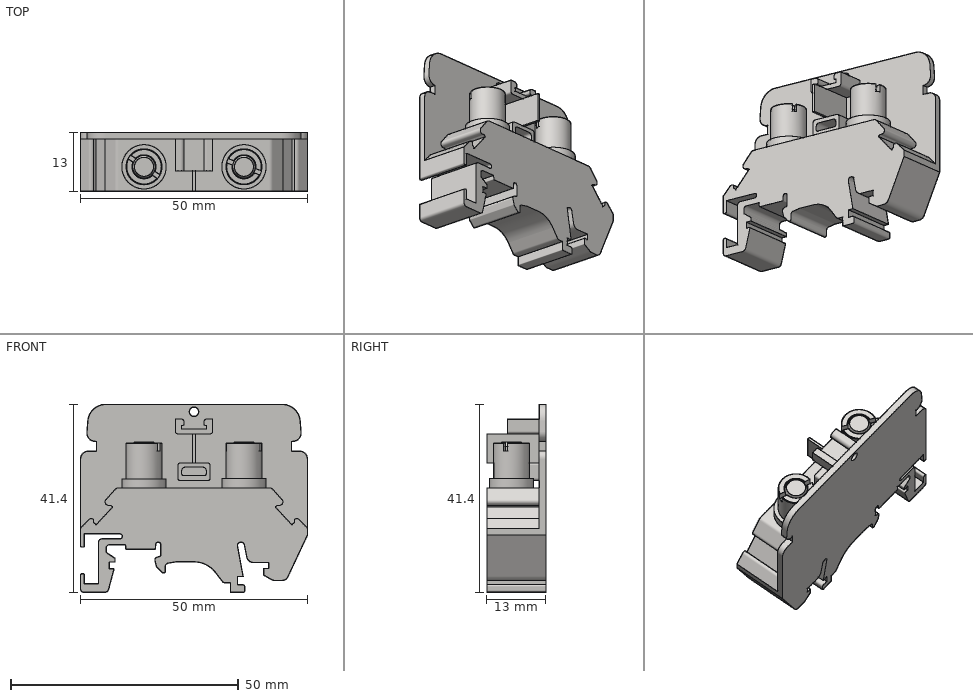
import cadquery as cq
import math

length = 50.0
depth = 13.0
height = 41.4
half_length = length / 2

plate_thickness = 1.5
plate_front = depth - plate_thickness
shoulder_z = 14.1
body_top = 23.0

post_offset = 11.0
post_y = 5.4
post_top = 32.9
post_diameter = 7.9
post_chamfer = 0.15
collar_diameter = 9.75
left_collar_height = 1.9
right_collar_height = 2.1
left_slot_angle = -34
right_slot_angle = -20
core_diameter = 5.0
core_rise = 0.2
core_taper = 0.4
core_taper_height = 1.0
drive_slot_width = 1.0
drive_slot_depth = 1.75

clip_front = 4.5
clip_half_width = 4.1
clip_bottom = 34.9
clip_top = 38.15
web_thickness = 0.6
box_width = 7.1
box_bottom = 24.6
box_top = 28.45
window_width = 5.4
window_bottom = 25.7
window_top = 27.55
edge_radius = 0.5

hole_diameter = 2.0
hole_z = 39.75


def rounded_outline(corners):
    """Closed XZ outline from (x, z, radius) corners; a radius of 0 leaves the corner sharp."""
    outline = None
    for i, (x, z, radius) in enumerate(corners):
        corner = cq.Vector(x, z)
        before = cq.Vector(*corners[i - 1][:2]) - corner
        after = cq.Vector(*corners[(i + 1) % len(corners)][:2]) - corner
        if radius == 0:
            start = middle = end = corner
        else:
            half_angle = before.getAngle(after) / 2
            tangent_length = radius / math.tan(half_angle)
            start = corner + before.normalized() * tangent_length
            end = corner + after.normalized() * tangent_length
            bisector = (before.normalized() + after.normalized()).normalized()
            middle = corner + bisector * (radius / math.sin(half_angle) - radius)
        if outline is None:
            outline = cq.Workplane("XZ").moveTo(start.x, start.y)
        else:
            outline = outline.lineTo(start.x, start.y)
        if radius > 0:
            outline = outline.threePointArc((middle.x, middle.y), (end.x, end.y))
    return outline.close()


def prism(outline, y_front, y_back):
    """Extrude an XZ outline between two Y positions."""
    return outline.extrude(y_front - y_back).translate((0, y_front, 0))


def mirrored(left_corners):
    """Complete a left-hand run of corners with its mirror image about X = 0."""
    return left_corners + [(-x, z, radius) for x, z, radius in reversed(left_corners)]


def rail_foot():
    """Full-depth lower part: marker channel at the left, rail hooks below."""
    corners = [
        (-half_length, shoulder_z, 0),
        (-half_length, 9.95, 0.3),
        (-24.1, 9.95, 0.3),
        (-24.1, 12.85, 0),
        (-15.8, 12.85, 0.5),
        (-15.8, 11.8, 0.5),
        (-21.05, 11.8, 0.8),
        (-21.05, 1.9, 0),
        (-24.1, 1.9, 0),
        (-24.1, 4.15, 0.4),
        (-half_length, 4.15, 0.4),
        (-half_length, 0, 0.75),
        (-18.95, 0, 0.9),
        (-17.55, 5.25, 0.25),
        (-18.6, 5.25, 0),
        (-18.6, 6.65, 0),
        (-17.35, 6.65, 0),
        (-17.35, 7.5, 0.25),
        (-19.3, 8.8, 0.25),
        (-19.3, 10.45, 0.7),
        (-15.1, 10.45, 0),
        (-15.0, 9.45, 0.15),
        (-8.5, 9.45, 0.15),
        (-8.35, 11.0, 0.45),
        (-7.35, 11.0, 0.45),
        (-7.35, 7.95, 0.25),
        (-8.8, 7.6, 0.7),
        (-8.25, 5.6, 0.25),
        (-6.8, 4.15, 0.4),
        (-6.3, 4.45, 0.3),
        (-6.3, 6.3, 0.75),
        (-3.9, 6.7, 1.5),
        (2.95, 6.7, 6.0),
        (6.45, 2.1, 0.75),
        (8.0, 2.1, 0),
        (8.0, 0, 0.15),
        (11.2, 0, 0.4),
        (11.2, 1.7, 0.5),
        (9.6, 1.7, 0),
        (9.6, 3.45, 0),
        (10.85, 3.45, 0),
        (9.45, 11.0, 0.65),
        (10.95, 11.0, 0.65),
        (11.85, 6.55, 1.5),
        (16.4, 6.55, 0),
        (16.4, 5.3, 0),
        (15.3, 5.3, 0.15),
        (15.3, 3.8, 0.15),
        (17.4, 2.6, 1.0),
        (20.3, 2.6, 1.5),
        (half_length, 12.6, 0),
        (half_length, shoulder_z, 0),
    ]
    return prism(rounded_outline(corners), 0, depth)


def back_plate():
    """Thin rear plate with notched sides and the small hole at the top."""
    left_corners = [
        (-half_length, shoulder_z, 0),
        (-half_length, 31.1, 1.8),
        (-21.5, 31.1, 0),
        (-21.5, 33.2, 0),
        (-23.75, 33.2, 1.9),
        (-23.1, height, 4.0),
    ]
    plate = prism(rounded_outline(mirrored(left_corners)), plate_front, depth)
    hole = cq.Workplane("XZ").center(0, hole_z).circle(hole_diameter / 2)
    return plate.cut(prism(hole, plate_front, depth))


def upper_body():
    """Sloped-side body in front of the plate, with a barbed groove on each flank."""
    left_corners = [
        (-half_length, shoulder_z, 0),
        (-22.75, 16.4, 0.75),
        (-22.1, 16.05, 0.2),
        (-22.1, 15.4, 0.15),
        (-21.55, 14.85, 0),
        (-17.9, 18.8, 0),
        (-18.3, 19.15, 0.25),
        (-20.5, 19.15, 0.75),
        (-17.05, body_top, 1.0),
    ]
    return prism(rounded_outline(mirrored(left_corners)), 0, plate_front)


def screw_post(x, collar_height, slot_angle):
    """Collared post whose tapered core is ringed by a sleeve with two drive slots."""
    base = cq.Workplane("XY", origin=(x, post_y, body_top))
    collar = base.circle(collar_diameter / 2).extrude(collar_height)
    slot = (
        cq.Workplane("XY")
        .box(collar_diameter, drive_slot_width, drive_slot_depth, centered=(True, True, False))
        .rotate((0, 0, 0), (0, 0, 1), slot_angle)
        .translate((x, post_y, post_top - drive_slot_depth))
    )
    sleeve = base.circle(post_diameter / 2).extrude(post_top - body_top)
    bore = base.circle(core_diameter / 2).extrude(post_top - body_top)
    sleeve = sleeve.cut(bore).faces(">Z").chamfer(post_chamfer).cut(slot)
    core = base.circle(core_diameter / 2).extrude(post_top + core_rise - body_top)
    core = core.faces(">Z").chamfer(core_taper_height, core_taper)
    return collar.union(sleeve).union(core)


def marker_clip():
    """Upward-opening clip with inward-curled lips."""
    left_corners = [
        (-clip_half_width, clip_bottom, edge_radius),
        (-clip_half_width, clip_top, 0),
        (-2.15, clip_top, 0.75),
        (-2.15, 36.75, 0.4),
        (-2.7, 36.75, 0),
        (-2.7, 35.95, 0),
    ]
    return prism(rounded_outline(mirrored(left_corners)), clip_front, plate_front)


def window_box():
    """Box below the clip with a blind window ending at the plate."""
    half_box = box_width / 2
    half_window = window_width / 2
    box = rounded_outline(mirrored([
        (-half_box, box_bottom, edge_radius),
        (-half_box, box_top, edge_radius),
    ]))
    window = rounded_outline(mirrored([
        (-half_window, window_bottom, 0.35),
        (-half_window, window_top, 0.75),
    ]))
    return prism(box, clip_front, plate_front).cut(prism(window, clip_front, plate_front))


def web():
    """Thin divider between the posts, from the box up to the clip."""
    web_height = clip_bottom - box_top
    divider = cq.Workplane("XY").box(
        web_thickness, plate_front, web_height, centered=(True, False, False)
    )
    return divider.translate((0, 0, box_top))


result = (
    rail_foot()
    .union(back_plate())
    .union(upper_body())
    .union(marker_clip())
    .union(web())
    .union(window_box())
    .union(screw_post(-post_offset, left_collar_height, left_slot_angle))
    .union(screw_post(post_offset, right_collar_height, right_slot_angle))
)